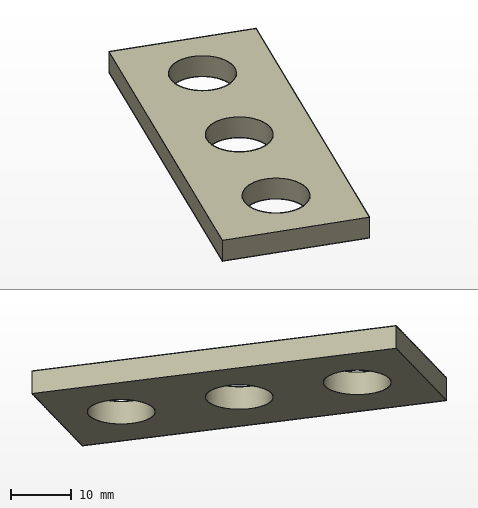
import cadquery as cq

length = 63.5
width = 25.4
thickness = 4.0

hole_diameter = 11.2
hole_pitch = 20.6
hole_count = 3

plate = cq.Workplane("XY").box(length, width, thickness)

result = (
    plate.faces(">Z")
    .workplane()
    .rarray(hole_pitch, width, hole_count, 1)
    .hole(hole_diameter)
)